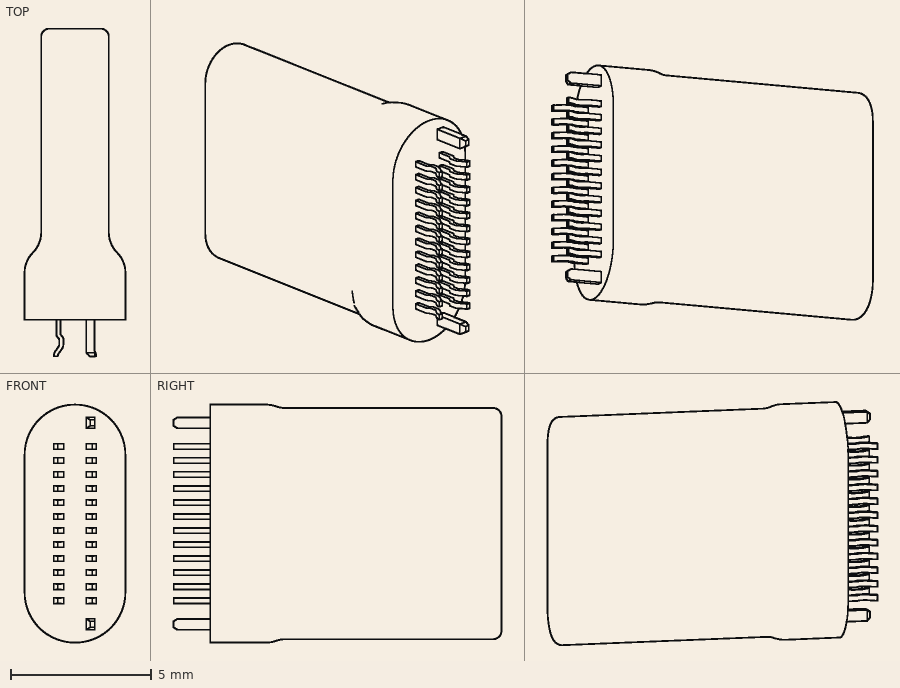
import cadquery as cq
import math

total_length = 11.7
terminal_length = 1.31
plug_end = total_length - terminal_length

plug_width = 2.42
plug_height = 8.25
body_width = 3.6
body_height = 8.5
plug_radius = plug_width / 2
body_radius = body_width / 2
plug_arc_z = plug_height / 2 - plug_radius
body_arc_z = body_height / 2 - body_radius
tip_fillet = 0.3

shoulder_radius = 1.01
shoulder_side_y = 2.4
shoulder_end_drop = 0.06
body_end = 3.28
trim_overlap = 0.0002925
trim_reach = 0.35
section_steps = 6

contact_count = 12
contact_row_span = 5.5
contact_pitch = contact_row_span / (contact_count - 1)
contact_width = 0.2
contact_length = 1.3
contact_thickness = 0.15
knee_radius = 0.09
foot_inner_radius = 0.14
foot_outer_radius = foot_inner_radius + contact_thickness
root_overlap = 0.12

post_x = 0.4
post_thickness = 0.3
post_width = 0.4
post_z = 3.59
post_tip = 0.14
post_tip_taper_x = 0.14
post_tip_taper_z = 0.09


def stadium_bar(width, height, length):
    """Stadium-section bar running from Y = 0 to Y = length."""
    return (
        cq.Workplane("XZ")
        .slot2D(height, width, 90)
        .extrude(-length)
    )


def plug_distance(angle):
    """Distance from the body arc centre to the plug outline, at an angle from X toward the tip."""
    centre_shift = plug_arc_z - body_arc_z
    side = abs(math.cos(angle))
    if math.sin(angle) * plug_radius <= centre_shift * side:
        return plug_radius / side
    return centre_shift * math.sin(angle) + math.sqrt(plug_radius**2 - (centre_shift * side) ** 2)


def shoulder_trim_section(angle):
    """Closed outline of the material outside the shoulder, in the radial plane at an angle."""
    outer = body_radius + trim_overlap
    inner = plug_distance(angle) - trim_overlap
    middle = (outer + inner) / 2
    bend = math.acos(1 - (outer - inner) / (2 * shoulder_radius))
    middle_y = shoulder_side_y - shoulder_end_drop * math.sin(angle)
    half_rise = shoulder_radius * math.sin(bend)
    low = middle_y - half_rise
    high = middle_y + half_rise
    arc_sag = shoulder_radius * (1 - math.cos(bend / 2))
    arc_rise = shoulder_radius * math.sin(bend / 2)
    top = body_end + trim_reach
    rim = body_radius + trim_reach
    plane = cq.Plane(
        origin=(0, 0, body_arc_z),
        xDir=(math.cos(angle), 0, math.sin(angle)),
        normal=(-math.sin(angle), 0, math.cos(angle)),
    )
    return (
        cq.Workplane(plane)
        .moveTo(outer, low)
        .threePointArc((outer - arc_sag, low + arc_rise), (middle, middle_y))
        .threePointArc((inner + arc_sag, high - arc_rise), (inner, high))
        .lineTo(inner, top)
        .lineTo(rim, top)
        .lineTo(rim, low)
        .close()
    )


def shoulder_trim_sweep(start_angle, end_angle):
    """Smooth stretch of the trim around the +Z end arc, between two angles."""
    step = (end_angle - start_angle) / section_steps
    angles = [start_angle + index * step for index in range(section_steps + 1)]
    wires = [shoulder_trim_section(angle).wire().val() for angle in angles]
    return cq.Workplane(cq.Solid.makeLoft(wires))


def shoulder_trim():
    """Ring of material to remove from the body around the plug."""
    flat_end_angle = math.atan2(plug_arc_z - body_arc_z, plug_radius)
    side = shoulder_trim_section(0).extrude(-2 * body_arc_z)
    beside_plug_flat = shoulder_trim_sweep(0, flat_end_angle)
    around_plug_arc = shoulder_trim_sweep(flat_end_angle, math.pi - flat_end_angle)
    corner = beside_plug_flat.union(beside_plug_flat.mirror("YZ"))
    end = corner.union(around_plug_arc)
    sides = side.union(side.mirror("YZ"))
    return sides.union(end).union(end.mirror("XY"))


def contact():
    """Bent contact of the -X column, centred on Z = 0."""
    left_x = -0.67
    knee_left_x = -0.56
    foot_left_x = -0.76
    right_x = left_x + contact_thickness
    knee_right_x = knee_left_x + contact_thickness
    foot_right_x = foot_left_x + contact_thickness
    left_bends = [
        (left_x, -0.56, knee_radius),
        (knee_left_x, -0.69, knee_radius),
        (knee_left_x, -0.91, foot_inner_radius),
        (foot_left_x, -1.19, foot_outer_radius),
    ]
    right_bends = [
        (foot_right_x, -1.24, foot_inner_radius),
        (knee_right_x, -0.96, foot_outer_radius),
        (knee_right_x, -0.64, knee_radius),
        (right_x, -0.51, knee_radius),
    ]
    outline = [(left_x, root_overlap)]
    outline += [(x, y) for x, y, radius in left_bends]
    outline += [(foot_left_x, -contact_length), (foot_right_x, -contact_length)]
    outline += [(x, y) for x, y, radius in right_bends]
    outline += [(right_x, root_overlap)]
    strip = (
        cq.Workplane("XY")
        .polyline(outline)
        .close()
        .extrude(contact_width / 2, both=True)
    )
    for x, y, radius in left_bends + right_bends:
        strip = strip.edges(cq.selectors.NearestToPointSelector((x, y, 0))).fillet(radius)
    return strip


def post():
    """Shield post centred on Z = 0; its tip tapers on three sides."""
    shank_length = terminal_length - post_tip
    shank = (
        cq.Workplane("XY")
        .box(post_thickness, shank_length + root_overlap, post_width, centered=(False, False, True))
        .translate((post_x, -shank_length, 0))
    )
    tip = (
        cq.Workplane("XZ", origin=(post_x + post_thickness / 2, -shank_length, 0))
        .rect(post_thickness, post_width)
        .workplane(offset=post_tip)
        .center(post_tip_taper_x / 2, 0)
        .rect(post_thickness - post_tip_taper_x, post_width - 2 * post_tip_taper_z)
        .loft(ruled=True)
    )
    return shank.union(tip)


plug = stadium_bar(plug_width, plug_height, plug_end).faces(">Y").edges().fillet(tip_fillet)
body = stadium_bar(body_width, body_height, body_end).cut(shoulder_trim())
result = body.union(plug)

contact_pair = contact().add(contact().mirror("YZ")).combine()
for index in range(contact_count):
    z = (index - (contact_count - 1) / 2) * contact_pitch
    result = result.union(contact_pair.translate((0, 0, z)))

for side in (-1, 1):
    result = result.union(post().translate((0, 0, side * post_z)))